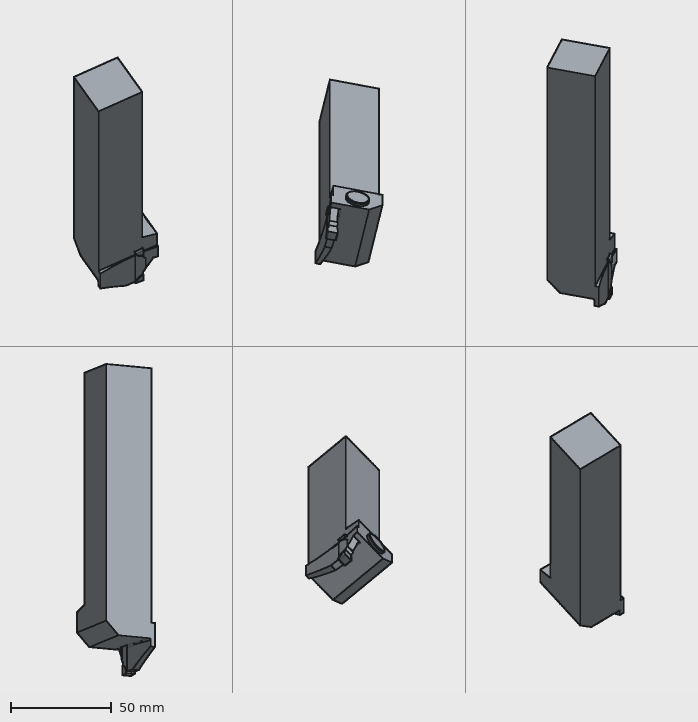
import cadquery as cq

overall_height = 151.4
shank_size = 25.0
holder_bottom = 14.5
corner_chamfer = 6.8

heel_back = 33.5
heel_top_outer = 31.6
heel_top_inner = 33.9

head_diameter = 11.8
head_height = 1.7
head_chamfer = 0.5
head_x = 12.9
head_z = 22.0

pad_top = 22.5
outer_front_x = 27.0
outer_middle_x = 25.5
outer_back_x = 26.0
outer_middle_y = 22.0
inner_front_x = 24.5
inner_middle_x = 21.6
inner_back_x = 22.0
inner_middle_y = 21.2
pad_inner_x = 24.2
root_fillet = 0.9

blade_front_bottom = 10.5
blade_bottom = 1.4
blade_slope_end_y = 15.5
blade_back_y = 30.7

insert_length = 25.3
insert_front_y = 20.6
insert_back_y = 26.5
rake_y = 25.1
tip_relief = 0.38
shoulder_start = 6.4
shoulder_end = 8.5
insert_body_left = 21.2
insert_body_right = 25.6
cutting_head_left = 20.9
cutting_head_right = 26.0
cutting_head_height = 4.8
head_curve_y = 22.7
head_curve_z = 4.0
head_corner_radius = 0.5


def extrude_along_x(outline, left, right):
    """Extrude a YZ outline between two X positions."""
    return outline.extrude(right - left).translate((left, 0, 0))


def make_shank():
    outline = cq.Workplane("YZ").polyline([
        (0, holder_bottom),
        (heel_back, holder_bottom),
        (heel_back, heel_top_outer),
        (shank_size, heel_top_inner),
        (shank_size, overall_height),
        (0, overall_height),
    ]).close()
    shank = extrude_along_x(outline, 0, shank_size)
    lower_left_edge = cq.selectors.NearestToPointSelector((0, heel_back / 2, holder_bottom))
    return shank.edges(lower_left_edge).chamfer(corner_chamfer)


def make_side_pad():
    return (
        cq.Workplane("XY", origin=(0, 0, holder_bottom))
        .moveTo(pad_inner_x, 0)
        .lineTo(outer_front_x, 0)
        .threePointArc((outer_middle_x, outer_middle_y), (outer_back_x, heel_back))
        .lineTo(pad_inner_x, heel_back)
        .close()
        .extrude(pad_top - holder_bottom)
    )


def make_blade():
    plan = (
        cq.Workplane("XY")
        .moveTo(inner_front_x, 0)
        .lineTo(outer_front_x, 0)
        .threePointArc((outer_middle_x, outer_middle_y), (outer_back_x, heel_back))
        .lineTo(inner_back_x, heel_back)
        .threePointArc((inner_middle_x, inner_middle_y), (inner_front_x, 0))
        .close()
        .extrude(pad_top)
    )
    side_outline = cq.Workplane("YZ").polyline([
        (0, pad_top),
        (0, blade_front_bottom),
        (blade_slope_end_y, blade_bottom),
        (insert_front_y, blade_bottom),
        (insert_back_y, shoulder_end),
        (blade_back_y, holder_bottom),
        (blade_back_y, pad_top),
    ]).close()
    return plan.intersect(extrude_along_x(side_outline, 0, outer_front_x))


def make_screw_head():
    return (
        cq.Workplane("XZ", origin=(head_x, heel_back, head_z))
        .circle(head_diameter / 2)
        .extrude(-head_height)
        .faces(">Y")
        .edges()
        .chamfer(head_chamfer)
    )


def make_cutting_head():
    outline = (
        cq.Workplane("YZ")
        .moveTo(rake_y, 0)
        .lineTo(rake_y, cutting_head_height)
        .threePointArc((head_curve_y, head_curve_z), (insert_front_y, tip_relief))
        .close()
    )
    head = extrude_along_x(outline, cutting_head_left, cutting_head_right)
    tip_center = ((cutting_head_left + cutting_head_right) / 2, (insert_front_y + rake_y) / 2, tip_relief / 2)
    tip_face = head.faces(cq.selectors.NearestToPointSelector(tip_center))
    return tip_face.edges("not |X").fillet(head_corner_radius)


def make_insert():
    middle_z = insert_length / 2
    lower_half = cq.Workplane("YZ").polyline([
        (insert_front_y, middle_z),
        (insert_front_y, tip_relief),
        (rake_y, 0),
        (rake_y, shoulder_start),
        (insert_back_y, shoulder_end),
        (insert_back_y, middle_z),
    ]).close()
    half = extrude_along_x(lower_half, insert_body_left, insert_body_right)
    half = half.union(make_cutting_head())
    return half.union(half.mirror("XY", (0, 0, middle_z)))


def make_root_relief():
    """Interrupts the root fillet beside the insert, back to the insert flank."""
    outline = cq.Workplane("YZ").polyline([
        (insert_front_y, 0),
        (insert_back_y, 0),
        (insert_back_y, holder_bottom),
        (insert_front_y, holder_bottom),
    ]).close()
    return extrude_along_x(outline, 0, insert_body_left)


def make_holder(insert):
    holder = make_shank().union(make_side_pad()).union(make_blade())
    root_edge = cq.selectors.NearestToPointSelector((inner_middle_x, inner_middle_y, holder_bottom))
    holder = holder.edges(root_edge).fillet(root_fillet)
    holder = holder.union(make_screw_head())
    return holder.cut(make_root_relief()).cut(insert)


insert = make_insert()
holder = make_holder(insert)
result = cq.Compound.makeCompound([holder.solids().val(), insert.solids().val()])